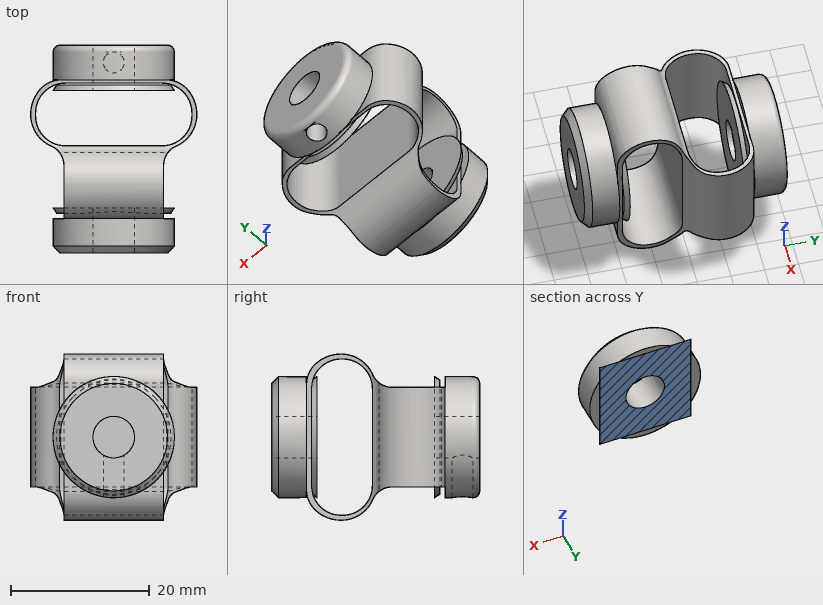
import cadquery as cq
import math

loop_half_length = 12.0
loop_depth = 10.0
band_half_width = 7.2
loop_mid = loop_depth / 2
root_radius = loop_mid
crown_radius = 5.45
corner_radius = 4.05
flare_radius = 3.0

end_wall = 0.75
joint_wall = 0.5
back_face_wall = 0.5
front_face_wall = 0.75
opening_radius = 4.25

disc_radius = 8.75
disc_thickness = 5.0
disc_edge = 1.0
bore_radius = 3.0
cross_hole_radius = 1.5
flange_near_face = 9.25
flange_thickness = 0.8
flange_small_radius = 8.25
flange_large_radius = disc_radius


def arc_point(center, radius, angle):
    """Point on an arc at the given angle from the local x axis."""
    return (center[0] + radius * math.cos(angle), center[1] + radius * math.sin(angle))


def silhouette(workplane):
    """Full-length prism: filled loop at positive local y, flared into a straight neck below it."""
    crown_center = (loop_half_length - crown_radius, loop_mid)
    center_gap = crown_radius - corner_radius
    crown_angle = math.asin((loop_depth - corner_radius - loop_mid) / center_gap)
    corner_center = arc_point(crown_center, center_gap, crown_angle)
    crown_end = arc_point(crown_center, crown_radius, crown_angle)
    crown_middle = arc_point(crown_center, crown_radius, crown_angle / 2)
    corner_middle = arc_point(corner_center, corner_radius, (crown_angle + math.pi / 2) / 2)

    root_center = (loop_half_length - root_radius, loop_mid)
    flare_center_x = band_half_width + flare_radius
    root_angle = -math.acos((flare_center_x - root_center[0]) / (root_radius + flare_radius))
    flare_center = arc_point(root_center, root_radius + flare_radius, root_angle)
    root_end = arc_point(root_center, root_radius, root_angle)
    root_middle = arc_point(root_center, root_radius, root_angle / 2)
    flare_middle = arc_point(flare_center, flare_radius, math.pi + root_angle / 2)

    half = (
        workplane.moveTo(0, loop_depth)
        .lineTo(corner_center[0], loop_depth)
        .threePointArc(corner_middle, crown_end)
        .threePointArc(crown_middle, (loop_half_length, loop_mid))
        .threePointArc(root_middle, root_end)
        .threePointArc(flare_middle, (band_half_width, flare_center[1]))
        .lineTo(band_half_width, -loop_depth)
        .lineTo(0, -loop_depth)
    )
    return half.mirrorY().extrude(loop_half_length, both=True)


def opening(workplane, face_wall):
    """Rounded slot through a loop, from the joint wall to the wall under the disc."""
    length = 2 * (loop_half_length - end_wall)
    height = loop_depth - joint_wall - face_wall
    return (
        workplane.center(0, joint_wall + height / 2)
        .rect(length, height)
        .extrude(loop_half_length, both=True)
        .edges(cq.selectors.ParallelDirSelector(workplane.plane.zDir))
        .fillet(opening_radius)
    )


def disc(side):
    """Plain disc on the outer face of a loop; side is 1 for the back and -1 for the front."""
    plane = cq.Plane(origin=(0, side * loop_depth, 0), xDir=(1, 0, 0), normal=(0, side, 0))
    return cq.Workplane(plane).circle(disc_radius).extrude(disc_thickness)


def flange(side):
    """Bored conical flange inside a loop, widening away from the disc."""
    near = side * flange_near_face
    far = side * (flange_near_face - flange_thickness)
    return (
        cq.Workplane("XY")
        .moveTo(bore_radius, near)
        .lineTo(flange_small_radius, near)
        .lineTo(flange_large_radius, far)
        .lineTo(bore_radius, far)
        .close()
        .revolve(360, (0, 0, 0), (0, 1, 0))
    )


def bore(side):
    """Bore through a disc and the band under it, ending inside the loop opening."""
    plane = cq.Plane(origin=(0, side * loop_mid, 0), xDir=(1, 0, 0), normal=(0, side, 0))
    return cq.Workplane(plane).circle(bore_radius).extrude(loop_mid + disc_thickness)


def cross_hole():
    """Hole from the bottom rim of the back disc up into its bore."""
    mid_disc = loop_depth + disc_thickness / 2
    return cq.Workplane("XY").center(0, mid_disc).circle(cross_hole_radius).extrude(-disc_radius)


back_plane = cq.Workplane("XY")
front_plane = cq.Workplane(cq.Plane(origin=(0, 0, 0), xDir=(0, 0, 1), normal=(1, 0, 0)))

back_disc = disc(1).faces(">Y").edges().fillet(disc_edge)
front_disc = disc(-1).faces("<Y").edges().chamfer(disc_edge)
frame = (
    silhouette(back_plane)
    .intersect(silhouette(front_plane))
    .cut(opening(back_plane, back_face_wall))
    .cut(opening(front_plane, front_face_wall))
    .union(back_disc)
    .union(front_disc)
    .union(flange(-1))
    .cut(bore(1))
    .cut(bore(-1))
    .cut(cross_hole())
)

loose_flange = flange(1)

result = cq.Compound.makeCompound([frame.val(), loose_flange.val()])